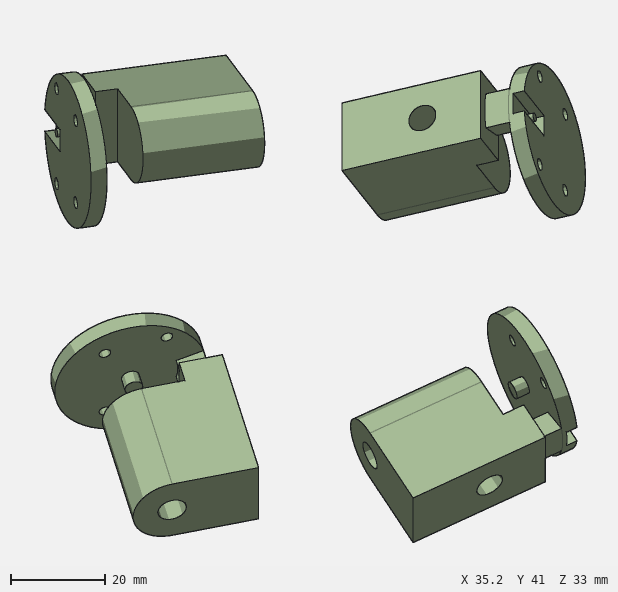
import cadquery as cq
import math

TOTAL_LENGTH = 41.0
BLOCK_OVERHANG = 2.2

FLANGE_RADIUS = 33.0 / 2
FLANGE_THICKNESS = 3.55
SCREW_HOLE_DIAMETER = 2.5
LEFT_HOLE_X = -7.95
LEFT_HOLE_Z = 11.05
RIGHT_HOLE_X = 5.58
RIGHT_HOLE_Z = 9.55
SLOT_END_X = -5.6
SLOT_WIDTH = 5.05
SLOT_DEPTH = 2.55
PIN_DIAMETER = 1.8
PIN_LENGTH = 2.05
PIN_X = -9.6
POST_DIAMETER = 3.9
POST_LENGTH = 3.0
PILLAR_LENGTH = 5.45
PILLAR_INNER_RADIUS = 10.35
PILLAR_HALF_ANGLE = math.radians(15)

BLOCK_HEIGHT = 17.05
ROUND_AXIS_X = 0.15
LEG_WIDTH = 9.45
LEG_LENGTH = 4.95
BORE_DIAMETER = 6.2
BEND_RADIUS = 1.0
INLET_FROM_BACK = 18.55

BLOCK_LEFT = -FLANGE_RADIUS - BLOCK_OVERHANG
BLOCK_FRONT = FLANGE_THICKNESS + PILLAR_LENGTH


def y_cylinder(x, z, diameter, y_start, length):
    """Cylinder along +Y that starts at y_start."""
    axis = cq.Vector(0, 1, 0)
    return cq.Workplane(cq.Solid.makeCylinder(diameter / 2, length, cq.Vector(x, y_start, z), axis))


def box(x_min, x_max, y_min, y_max, height):
    """Box centred on Z = 0."""
    plan = cq.Workplane("XY").workplane(offset=-height / 2)
    plan = plan.moveTo(x_min, y_min).lineTo(x_max, y_min).lineTo(x_max, y_max).lineTo(x_min, y_max)
    return plan.close().extrude(height)


def make_pillar():
    """Ring sector behind the flange, flush with its rim."""
    def sector_point(radius, angle):
        return (-radius * math.cos(angle), radius * math.sin(angle))

    top = PILLAR_HALF_ANGLE
    profile = (
        cq.Workplane("XZ", origin=(0, FLANGE_THICKNESS, 0))
        .moveTo(*sector_point(FLANGE_RADIUS, top))
        .threePointArc(sector_point(FLANGE_RADIUS, 0), sector_point(FLANGE_RADIUS, -top))
        .lineTo(*sector_point(PILLAR_INNER_RADIUS, -top))
        .threePointArc(sector_point(PILLAR_INNER_RADIUS, 0), sector_point(PILLAR_INNER_RADIUS, top))
        .close()
    )
    return profile.extrude(-PILLAR_LENGTH)


def make_flange():
    """Round flange with its pillar, rear post, slot, slot pin and screw holes."""
    flange = y_cylinder(0, 0, 2 * FLANGE_RADIUS, 0, FLANGE_THICKNESS)
    flange = flange.cut(box(-FLANGE_RADIUS, SLOT_END_X, 0, SLOT_DEPTH, SLOT_WIDTH))
    for x, z in ((LEFT_HOLE_X, LEFT_HOLE_Z), (RIGHT_HOLE_X, RIGHT_HOLE_Z)):
        for side in (1, -1):
            flange = flange.cut(y_cylinder(x, side * z, SCREW_HOLE_DIAMETER, 0, FLANGE_THICKNESS))
    flange = flange.union(y_cylinder(PIN_X, 0, PIN_DIAMETER, SLOT_DEPTH - PIN_LENGTH, PIN_LENGTH))
    flange = flange.union(y_cylinder(0, 0, POST_DIAMETER, FLANGE_THICKNESS, POST_LENGTH))
    return flange.union(make_pillar())


def make_bore():
    """Bore from the -X side that turns through a tight elbow to the back face."""
    radius = BORE_DIAMETER / 2
    inlet_y = TOTAL_LENGTH - INLET_FROM_BACK
    bend_x = ROUND_AXIS_X - BEND_RADIUS
    bend_y = inlet_y + BEND_RADIUS
    inlet = cq.Workplane("YZ", origin=(BLOCK_LEFT, inlet_y, 0)).circle(radius).extrude(bend_x - BLOCK_LEFT)
    outlet = y_cylinder(ROUND_AXIS_X, 0, BORE_DIAMETER, bend_y, TOTAL_LENGTH - bend_y)
    chord_half = math.sqrt(radius**2 - BEND_RADIUS**2)
    elbow = (
        cq.Workplane("XZ", origin=(bend_x, bend_y, 0))
        .moveTo(0, -chord_half)
        .threePointArc((BEND_RADIUS + radius, 0), (0, chord_half))
        .close()
        .revolve(90, (0, 0), (0, -1))
    )
    return inlet.union(outlet).union(elbow)


def make_block():
    """Block with a half-round +X side, a leg toward the flange and the elbow bore."""
    body_front = BLOCK_FRONT + LEG_LENGTH
    block = box(BLOCK_LEFT, ROUND_AXIS_X, body_front, TOTAL_LENGTH, BLOCK_HEIGHT)
    round_side = y_cylinder(ROUND_AXIS_X, 0, BLOCK_HEIGHT, body_front, TOTAL_LENGTH - body_front)
    leg = box(BLOCK_LEFT, BLOCK_LEFT + LEG_WIDTH, BLOCK_FRONT, body_front, BLOCK_HEIGHT)
    return block.union(round_side).union(leg).cut(make_bore())


flange = make_flange().solids()
block = make_block().solids()
result = cq.Compound.makeCompound([flange.val(), block.val()])